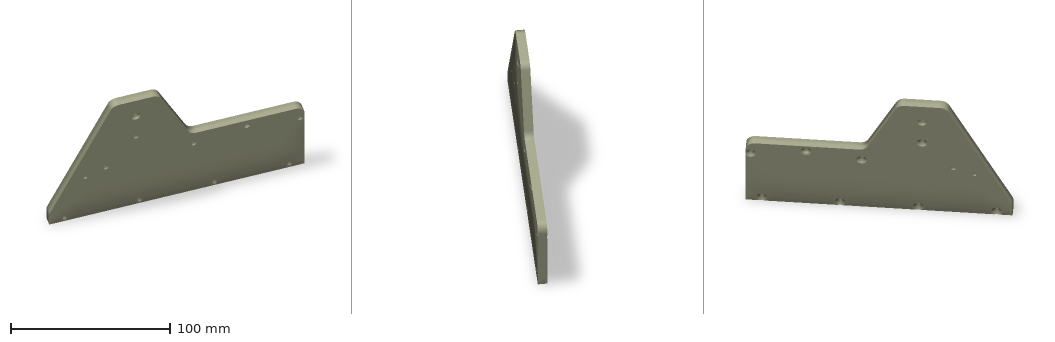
import cadquery as cq
import math

thickness = 6.0
length = 168.0
height = 100.0

shoulder_height = 55.0
tower_center = 111.0
tower_top_half_width = 15.0
flank_angle = 25.0
corner_radius = 6.0

screw_diameter = 3.4
screw_head_diameter = 6.7
guide_diameter = 4.0
guide_mouth_radius = 2.0
countersink_angle = 90.0
pivot_diameter = 6.0
wide_pin_diameter = 3.4
narrow_pin_diameter = 2.5

base_screw_count = 4
base_screw_height = 3.0
first_base_screw = 10.0
last_base_screw = 158.0
base_screw_pitch = (last_base_screw - first_base_screw) / (base_screw_count - 1)
shoulder_screw_height = 45.0
shoulder_screw_inset = 3.0
inner_shoulder_screw = 72.9
tower_screw_height = 65.0
guide_place = (38.0, 50.0)
pivot_place = (tower_center, 85.0)
wide_pin_place = (130.7, 42.2)
narrow_pin_place = (144.1, 37.3)


def make_plate():
    """Extrude the filleted outline along +X; the two base corners stay sharp."""
    flank_slope = math.tan(math.radians(flank_angle))
    top_rear = tower_center - tower_top_half_width
    top_front = tower_center + tower_top_half_width
    shoulder_end = top_rear - (height - shoulder_height) * flank_slope
    front_edge_height = height - (length - top_front) / flank_slope
    outline = [
        (0, 0),
        (0, shoulder_height),
        (shoulder_end, shoulder_height),
        (top_rear, height),
        (top_front, height),
        (length, front_edge_height),
        (length, 0),
    ]
    plate = (
        cq.Workplane("YZ")
        .polyline([(-distance, z) for distance, z in outline])
        .close()
        .extrude(thickness)
    )
    above_base = cq.selectors.BoxSelector(
        (-1.7, -length - 1.7, front_edge_height / 2), (thickness + 1.7, 1.7, height + 1.7)
    )
    return plate.edges("|X").edges(above_base).fillet(corner_radius)


def hole_sites(plate, places):
    """Place points on the -X face, where local x is the distance from the +Y edge."""
    face_plane = cq.Plane(origin=(0, 0, 0), xDir=(0, -1, 0), normal=(-1, 0, 0))
    return plate.copyWorkplane(cq.Workplane(face_plane)).pushPoints(places)


def drill(plate, places, diameter):
    return hole_sites(plate, places).hole(diameter)


def drill_rounded(plate, place, diameter, mouth_radius):
    """Drill a hole and round over its mouth on the -X face."""
    distance, z = place
    around_mouth = cq.selectors.BoxSelector(
        (-mouth_radius, -distance - diameter, z - diameter),
        (mouth_radius, -distance + diameter, z + diameter),
    )
    return drill(plate, [place], diameter).edges("%CIRCLE").edges(around_mouth).fillet(mouth_radius)


def countersink(plate, places, diameter, head_diameter):
    return hole_sites(plate, places).cskHole(diameter, head_diameter, countersink_angle)


screw_places = [
    (first_base_screw + i * base_screw_pitch, base_screw_height) for i in range(base_screw_count)
]
screw_places += [
    (shoulder_screw_inset, shoulder_screw_height),
    (inner_shoulder_screw, shoulder_screw_height),
    (tower_center, tower_screw_height),
]

result = make_plate()
result = countersink(result, screw_places, screw_diameter, screw_head_diameter)
result = drill_rounded(result, guide_place, guide_diameter, guide_mouth_radius)
result = drill(result, [pivot_place], pivot_diameter)
result = drill(result, [wide_pin_place], wide_pin_diameter)
result = drill(result, [narrow_pin_place], narrow_pin_diameter)